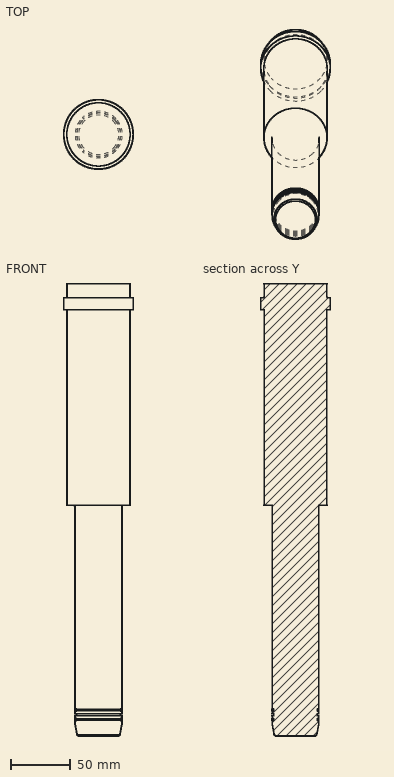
import cadquery as cq

total_length = 383.0
collar_radius = 59.0 / 2
body_radius = 53.5 / 2
pin_radius = 40.0 / 2

collar_top = total_length - 12.0
collar_bottom = collar_top - 10.5
body_bottom = 195.5

corner_fillet = 0.8

groove_count = 3
groove_height = 1.5
groove_depth = 1.0
lowest_groove_bottom = 13.5
groove_span = 8.0
groove_pitch = groove_span / (groove_count - 1)

tip_length = 10.5
tip_radius = 36.0 / 2
tip_chamfer = 1.0


def shaft_body():
    """Half profile from the tip to the head, turned about Z."""
    return (
        cq.Workplane("XZ")
        .polyline(
            [
                (0, 0),
                (tip_radius, 0),
                (pin_radius, tip_length),
                (pin_radius, body_bottom),
                (body_radius, body_bottom),
                (body_radius, collar_bottom),
                (collar_radius, collar_bottom),
                (collar_radius, collar_top),
                (body_radius, collar_top),
                (body_radius, total_length),
                (0, total_length),
            ]
        )
        .close()
        .revolve(360, (0, 0, 0), (0, 1, 0))
    )


def circle_edge(radius, height):
    """Selector for the circular edge of the given radius and height."""
    margin = 0.05
    reach = radius + margin
    return cq.selectors.BoxSelector(
        (-reach, -reach, height - margin), (reach, reach, height + margin), boundingbox=True
    )


def groove_ring(bottom):
    """Ring to remove from the pin, reaching slightly outside its surface."""
    clearance = 2.0
    ring = cq.Workplane("XY").workplane(offset=bottom).circle(pin_radius + clearance)
    return ring.circle(pin_radius - groove_depth).extrude(groove_height)


shaft = shaft_body()
shaft = shaft.edges(circle_edge(pin_radius, body_bottom)).fillet(corner_fillet)
shaft = shaft.edges(circle_edge(body_radius, collar_top)).fillet(corner_fillet)
shaft = shaft.faces("<Z").edges().chamfer(tip_chamfer)

for index in range(groove_count):
    shaft = shaft.cut(groove_ring(lowest_groove_bottom + index * groove_pitch))

result = shaft